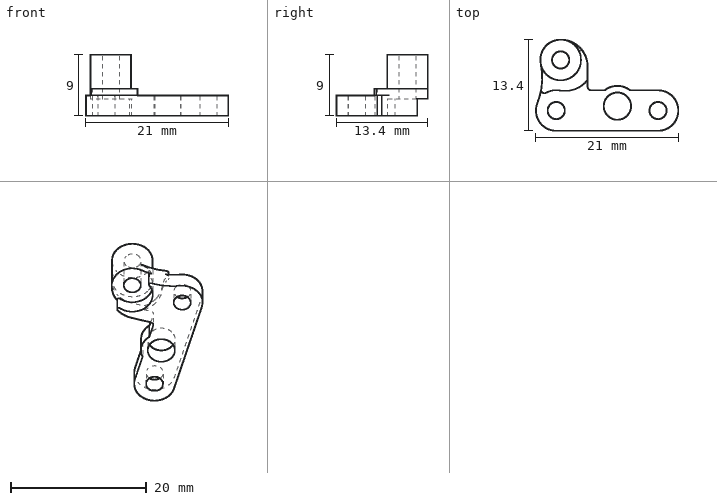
import cadquery as cq
import math

base_thickness = 3.0
end_radius = 3.0
hole_spacing = 15.0
small_hole_radius = 1.25
large_hole_radius = 2.0
large_hole_center = (9.0, 0.65)
large_ring_radius = 3.0

boss_center = (0.65, 7.45)
boss_radius = end_radius
boss_bottom = 2.5
boss_top = 3 * base_thickness
relief_tip_radius = 0.25

shoulder_radius = 4.0
arm_right = boss_center[0] + shoulder_radius
flank_radius = 10.0
inner_corner_radius = 0.5
pad_top = 4.0
pad_tip_radius = 0.5
pad_front_radius = 4.18

hole_center = (0, 0)


def circles_meet(first, first_radius, second, second_radius, side):
    """Intersection of two circles; side +1 is left of the first-to-second line, -1 right."""
    dx = second[0] - first[0]
    dy = second[1] - first[1]
    distance = math.hypot(dx, dy)
    along = (first_radius**2 - second_radius**2 + distance**2) / (2 * distance)
    across = side * math.sqrt(first_radius**2 - along**2)
    return (
        first[0] + (along * dx - across * dy) / distance,
        first[1] + (along * dy + across * dx) / distance,
    )


def toward(start, target, distance):
    """Point at a distance from start, in the direction of target."""
    dx = target[0] - start[0]
    dy = target[1] - start[1]
    scale = distance / math.hypot(dx, dy)
    return (start[0] + dx * scale, start[1] + dy * scale)


def short_arc(wire, start, center, radius, end):
    """Add the shorter arc from start to end about a center."""
    chord_middle = ((start[0] + end[0]) / 2, (start[1] + end[1]) / 2)
    return wire.threePointArc(toward(center, chord_middle, radius), end)


def cylinder(center, radius, bottom, top):
    return cq.Workplane("XY", origin=(*center, bottom)).circle(radius).extrude(top - bottom)


flank_center = circles_meet(
    hole_center, end_radius + flank_radius, boss_center, boss_radius + flank_radius, 1
)
flank_low = toward(hole_center, flank_center, end_radius)
flank_high = toward(boss_center, flank_center, boss_radius)

shoulder_center = (boss_center[0], boss_center[1] + boss_radius - shoulder_radius)
shoulder_top = (boss_center[0], boss_center[1] + boss_radius)
shoulder_end = (arm_right, shoulder_center[1])

left_tip_center = circles_meet(
    boss_center, boss_radius + relief_tip_radius, flank_center, flank_radius + relief_tip_radius, 1
)
left_tip_flank = toward(left_tip_center, flank_center, relief_tip_radius)
left_tip_boss = toward(left_tip_center, boss_center, relief_tip_radius)
right_tip_center = circles_meet(
    boss_center, boss_radius + relief_tip_radius, shoulder_center, shoulder_radius - relief_tip_radius, 1
)
right_tip_boss = toward(right_tip_center, boss_center, relief_tip_radius)
right_tip_shoulder = toward(shoulder_center, right_tip_center, shoulder_radius)

tip_center = circles_meet(
    hole_center, end_radius + pad_tip_radius, flank_center, flank_radius + pad_tip_radius, -1
)
tip_flank = toward(tip_center, flank_center, pad_tip_radius)
tip_front = toward(tip_center, hole_center, pad_tip_radius)
front_center_x = 1.3
front_center = (
    front_center_x,
    math.sqrt((end_radius + pad_front_radius) ** 2 - front_center_x**2),
)
front_join = toward(hole_center, front_center, end_radius)

blend_x = arm_right - pad_tip_radius
blend_drop = math.sqrt((pad_front_radius - pad_tip_radius) ** 2 - (blend_x - front_center_x) ** 2)
blend_center = (blend_x, front_center[1] - blend_drop)
blend_side = (arm_right, blend_center[1])
blend_front = toward(front_center, blend_center, pad_front_radius)


def make_arm():
    """Arm below the boss, hollowed to the boss outline with a rounded tip on each side."""
    wire = cq.Workplane("XY").moveTo(*flank_low)
    wire = short_arc(wire, flank_low, flank_center, flank_radius, left_tip_flank)
    wire = short_arc(wire, left_tip_flank, left_tip_center, relief_tip_radius, left_tip_boss)
    wire = wire.threePointArc((boss_center[0], boss_center[1] - boss_radius), right_tip_boss)
    wire = short_arc(wire, right_tip_boss, right_tip_center, relief_tip_radius, right_tip_shoulder)
    wire = short_arc(wire, right_tip_shoulder, shoulder_center, shoulder_radius, shoulder_end)
    return wire.lineTo(arm_right, 0).lineTo(*hole_center).close().extrude(base_thickness)


def make_base():
    bar = (
        cq.Workplane("XY")
        .center(hole_spacing / 2, 0)
        .slot2D(hole_spacing + 2 * end_radius, 2 * end_radius)
        .extrude(base_thickness)
    )
    inner_corner = cq.selectors.NearestToPointSelector((arm_right, end_radius, base_thickness / 2))
    base = bar.union(make_arm()).edges(inner_corner).fillet(inner_corner_radius)
    return base.union(cylinder(large_hole_center, large_ring_radius, 0, base_thickness))


def make_pad():
    """Raised plate joining the arm to the boss; its far edge is a chord inside the boss."""
    wire = cq.Workplane("XY", origin=(0, 0, boss_bottom)).moveTo(*tip_flank)
    wire = short_arc(wire, tip_flank, flank_center, flank_radius, flank_high)
    wire = wire.lineTo(*shoulder_top)
    wire = short_arc(wire, shoulder_top, shoulder_center, shoulder_radius, shoulder_end)
    wire = wire.lineTo(*blend_side)
    wire = short_arc(wire, blend_side, blend_center, pad_tip_radius, blend_front)
    wire = short_arc(wire, blend_front, front_center, pad_front_radius, front_join)
    wire = short_arc(wire, front_join, hole_center, end_radius, tip_front)
    wire = short_arc(wire, tip_front, tip_center, pad_tip_radius, tip_flank)
    return wire.close().extrude(pad_top - boss_bottom)


result = make_base().union(make_pad()).union(cylinder(boss_center, boss_radius, boss_bottom, boss_top))
for center, radius in (
    (hole_center, small_hole_radius),
    ((hole_spacing, 0), small_hole_radius),
    (boss_center, small_hole_radius),
    (large_hole_center, large_hole_radius),
):
    result = result.cut(cylinder(center, radius, 0, boss_top))